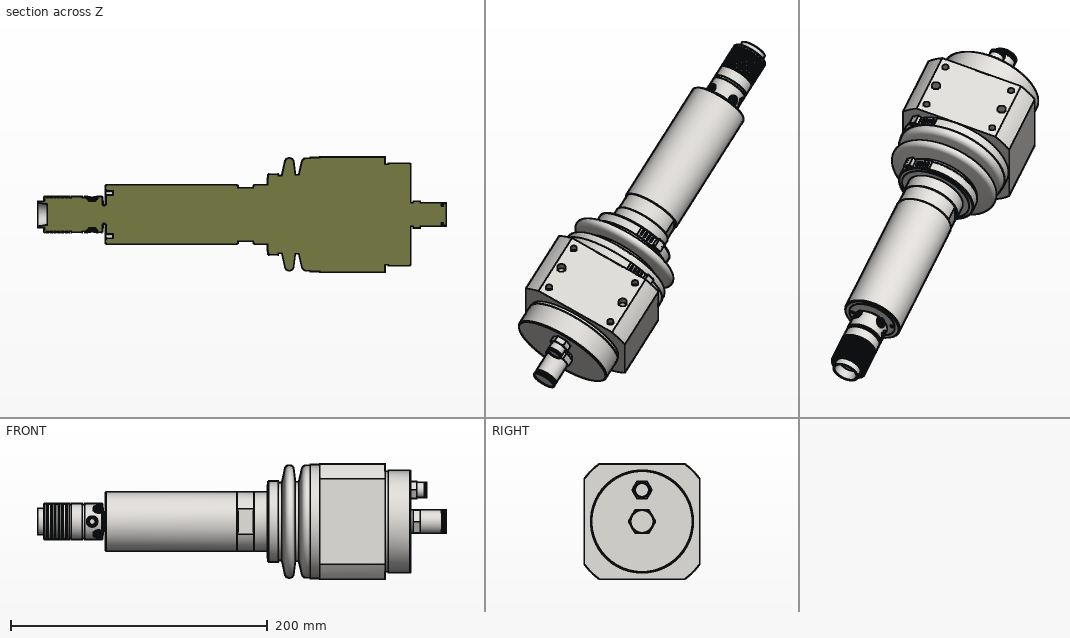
import cadquery as cq
import math

NOSE_END = 4.8
COUPLING_END = 50.7
BARREL_START = 52.7
BARREL_END = 156.2
SPANNER_END = 168.0
CUFF_START = 179.0
SMALL_CLAMP_START = 180.2
SMALL_CLAMP_END = 187.6
BELLOWS_START = 190.2
LARGE_CLAMP_START = 212.6
BLOCK_START = 219.8
BLOCK_END = 270.7
COVER_START = 273.2
COVER_END = 290.8
TOTAL_LENGTH = 318.55

NOSE_DIA = 21.0
NOSE_FLOOR_DIA = 16.0
NOSE_MOUTH_DIA = 18.5
NOSE_BORE_DEPTH = 7.5
COUPLING_DIA = 28.4
COUPLING_CHAMFER = 0.8
NOSE_RECESS_DIA = 24.0
NOSE_RECESS_DEPTH = 0.5
GROOVE_DIA = 26.8
GRIP_GROOVE_COUNT = 7
GRIP_GROOVE_FIRST = 7.2
GRIP_GROOVE_PITCH = 2.95
GRIP_GROOVE_WIDTH = 1.2
BACK_GROOVE_START = 34.8
BACK_GROOVE_WIDTH = 2.0
NECK_DIA = 15.4
NECK_GROOVE_DIA = 14.2
NECK_GROOVE_WIDTH = 1.0
SOCKET_STATION = 42.6
SOCKET_ANGLES = (-90, 90)
SOCKET_DIA = 8.57
SOCKET_DEPTH = 1.0
SOCKET_STEP_DIA = 6.65
SOCKET_STEP_DEPTH = 2.0
SOCKET_INNER_DIA = 4.92
SOCKET_INNER_DEPTH = 3.0
SCREW_STATION = 47.6
SCREW_ANGLES = (45, 135, 225, 315)
SCREW_SEAT_DIA = 8.56
SCREW_SEAT_DEPTH = 3.5
SCREW_DIA = 7.2
SCREW_RECESS = 0.5
SCREW_DRIVE_RIM_DIA = 6.0
SCREW_DRIVE_RIM_DEPTH = 0.8
SCREW_DRIVE_DIA = 3.0
SCREW_DRIVE_DEPTH = 2.0

BARREL_DIA = 46.5
BARREL_CHAMFER = 0.9
SPANNER_FLATS = 42.0
FACE_RECESS_DIA = 38.6
FACE_RECESS_DEPTH = 0.5
FACE_HOLE_DIA = 3.0
FACE_HOLE_RADIUS = 16.8
FACE_HOLE_DEPTH = 6.0

CUFF_DIA = 62.0
CUFF_STEP_DIA = 56.8
CUFF_STEP = 0.5
CUFF_GROOVE_DIA = 61.0
LOBE_RADIUS = 44.0
LOBE_SHOULDER_RADIUS = 41.0
LOBE_END = 200.9
LOBE_TAPER = 2.3
LOBE_BACK_TAPER = 1.2
LARGE_LOBE_START = 203.4
LARGE_LOBE_CREST = 209.0
LARGE_SHOULDER_FILLET = 4.0
SMALL_BAND_RADIUS = 31.65
LARGE_BAND_RADIUS = 44.5
BAND_THICKNESS = 0.5
CLAMP_ANGLE = 45.0
EAR_WIDTH = 7.0
EAR_HEIGHT = 3.2
EAR_WALL = 1.0
SLOT_COUNT = 4
SLOT_LENGTH = 3.8
SLOT_WIDTH = 1.2
SLOT_FIRST = 6.7
SLOT_PITCH = 3.2
TAIL_LENGTH = 19.0

BLOCK_SIZE = 90.0
BLOCK_CORNER_RADIUS = 56.0
TOP_HOLE_PITCH = 18.7
TOP_HOLE_OFFSET = 27.8
THREAD_HOLE_DIA = 4.92
CENTRE_HOLE_DIA = 6.65
TOP_HOLE_DEPTH = 10.0
DRILL_POINT_ANGLE = 118.0

COVER_NECK_DIA = 78.4
COVER_DIA = 80.0
COVER_CHAMFER = 0.8
MAIN_PLUG_DIA = 18.5
MAIN_NUT_FLATS = 18.2
MAIN_NUT_START = 292.6
MAIN_NUT_END = 298.2
MAIN_PLUG_SHOULDER = 314.8
MAIN_PLUG_NECK_END = 315.9
MAIN_PLUG_NECK_DIA = 13.4
MAIN_RING_GROOVE_DIA = 17.5
SMALL_PLUG_HEIGHT = 24.6
SMALL_PLUG_DIA = 12.0
SMALL_NUT_FLATS = 13.4
SMALL_NUT_END = 295.5
SMALL_RING_START = 300.6
SMALL_PLUG_END = 303.3
SMALL_RING_GROOVE_DIA = 10.6
RING_GROOVE_WIDTH = 0.4
RING_GROOVE_COUNT = 2

OVERLAP = 0.5


def cylinder(start, end, diameter, height=0.0):
    """Cylinder along X whose axis lies at the given Z height."""
    disc = cq.Workplane("YZ", origin=(start, 0, height)).circle(diameter / 2)
    return disc.extrude(end - start)


def ring(start, end, outer_diameter, inner_diameter, height=0.0):
    """Tube along X, used both as a band and as a groove cutter."""
    outline = cq.Workplane("YZ", origin=(start, 0, height))
    return outline.circle(outer_diameter / 2).circle(inner_diameter / 2).extrude(end - start)


def hexagon(start, end, across_flats, height=0.0):
    """Hexagonal prism along X with two corners pointing along Y."""
    across_corners = across_flats / math.cos(math.radians(30))
    return cq.Workplane("YZ", origin=(start, 0, height)).polygon(6, across_corners).extrude(end - start)


def radial_cylinder(station, angle, inner_radius, outer_radius, diameter):
    """Cylinder pointing away from the axis; angle is measured from +Z toward +Y."""
    plug = cq.Workplane("XY", origin=(station, 0, inner_radius)).circle(diameter / 2)
    plug = plug.extrude(outer_radius - inner_radius)
    return around_axis(plug, angle)


def around_axis(body, angle):
    """Turn a body about the X axis, positive from +Z toward +Y."""
    return body.rotate((0, 0, 0), (1, 0, 0), -angle)


def make_coupling():
    coupling = cylinder(0, NOSE_END + NOSE_RECESS_DEPTH + OVERLAP, NOSE_DIA)
    sleeve = cylinder(NOSE_END, COUPLING_END, COUPLING_DIA)
    coupling = coupling.union(sleeve.edges().chamfer(COUPLING_CHAMFER))
    coupling = coupling.union(cylinder(COUPLING_END - OVERLAP, BARREL_START + 2 * OVERLAP, NECK_DIA))

    recess_floor = NOSE_END + NOSE_RECESS_DEPTH
    coupling = coupling.cut(ring(NOSE_END, recess_floor, NOSE_RECESS_DIA, NOSE_DIA))

    bore = cq.Workplane("YZ").circle(NOSE_MOUTH_DIA / 2)
    bore = bore.workplane(offset=NOSE_BORE_DEPTH).circle(NOSE_FLOOR_DIA / 2).loft()
    coupling = coupling.cut(bore)

    cutter_dia = COUPLING_DIA + 2 * OVERLAP
    for index in range(GRIP_GROOVE_COUNT):
        start = GRIP_GROOVE_FIRST + index * GRIP_GROOVE_PITCH
        coupling = coupling.cut(ring(start, start + GRIP_GROOVE_WIDTH, cutter_dia, GROOVE_DIA))
    back_groove_end = BACK_GROOVE_START + BACK_GROOVE_WIDTH
    coupling = coupling.cut(ring(BACK_GROOVE_START, back_groove_end, cutter_dia, GROOVE_DIA))
    neck_groove_start = (COUPLING_END + BARREL_START - NECK_GROOVE_WIDTH) / 2
    neck_groove_end = neck_groove_start + NECK_GROOVE_WIDTH
    coupling = coupling.cut(ring(neck_groove_start, neck_groove_end, NECK_DIA, NECK_GROOVE_DIA))

    radius = COUPLING_DIA / 2
    socket_rim = math.sqrt(radius**2 - (SOCKET_DIA / 2) ** 2)
    socket_steps = (
        (SOCKET_DIA, SOCKET_DEPTH),
        (SOCKET_STEP_DIA, SOCKET_STEP_DEPTH),
        (SOCKET_INNER_DIA, SOCKET_INNER_DEPTH),
    )
    for angle in SOCKET_ANGLES:
        for diameter, depth in socket_steps:
            floor = socket_rim - depth
            coupling = coupling.cut(radial_cylinder(SOCKET_STATION, angle, floor, radius + OVERLAP, diameter))

    screw_top = radius - SCREW_RECESS
    seat_floor = radius - SCREW_SEAT_DEPTH
    for angle in SCREW_ANGLES:
        seat = radial_cylinder(SCREW_STATION, angle, seat_floor, radius + OVERLAP, SCREW_SEAT_DIA)
        screw = radial_cylinder(SCREW_STATION, angle, seat_floor - OVERLAP, screw_top, SCREW_DIA)
        rim_floor = screw_top - SCREW_DRIVE_RIM_DEPTH
        rim = radial_cylinder(SCREW_STATION, angle, rim_floor, radius, SCREW_DRIVE_RIM_DIA)
        drive_floor = screw_top - SCREW_DRIVE_DEPTH
        drive = radial_cylinder(SCREW_STATION, angle, drive_floor, radius, SCREW_DRIVE_DIA)
        coupling = coupling.cut(seat).union(screw).cut(rim).cut(drive)
    return coupling


def make_barrel():
    barrel = cylinder(BARREL_START, BARREL_END, BARREL_DIA).edges().chamfer(BARREL_CHAMFER)
    spanner = cylinder(BARREL_END - OVERLAP, SPANNER_END + OVERLAP, BARREL_DIA)
    flats = cq.Workplane("YZ", origin=(BARREL_START, 0, 0)).rect(SPANNER_FLATS, BARREL_DIA + 2 * OVERLAP)
    flats = flats.extrude(CUFF_START - BARREL_START)
    barrel = barrel.union(spanner.intersect(flats))
    rear = cylinder(SPANNER_END, CUFF_START + 2 * OVERLAP, BARREL_DIA)
    barrel = barrel.union(rear.faces("<X").chamfer(BARREL_CHAMFER))

    recess_floor = BARREL_START + FACE_RECESS_DEPTH
    barrel = barrel.cut(cylinder(BARREL_START, recess_floor, FACE_RECESS_DIA))
    holes = cq.Workplane("YZ", origin=(BARREL_START, 0, 0))
    holes = holes.pushPoints([(-FACE_HOLE_RADIUS, 0), (FACE_HOLE_RADIUS, 0)])
    return barrel.cut(holes.circle(FACE_HOLE_DIA / 2).extrude(FACE_HOLE_DEPTH))


def make_bellows():
    """Cuff, one full convolution and the half convolution that ends under the large clamp."""
    cuff = CUFF_DIA / 2
    groove = CUFF_GROOVE_DIA / 2
    lobe_middle = (BELLOWS_START + LOBE_END) / 2
    profile = (
        cq.Workplane("XY")
        .moveTo(CUFF_START, 0)
        .lineTo(CUFF_START, CUFF_STEP_DIA / 2)
        .lineTo(CUFF_START + CUFF_STEP, CUFF_STEP_DIA / 2)
        .lineTo(CUFF_START + CUFF_STEP, cuff)
        .lineTo(SMALL_CLAMP_END, cuff)
        .lineTo(SMALL_CLAMP_END, groove)
        .lineTo(BELLOWS_START, groove)
        .lineTo(BELLOWS_START + LOBE_TAPER, LOBE_SHOULDER_RADIUS)
        .threePointArc((lobe_middle, LOBE_RADIUS), (LOBE_END - LOBE_BACK_TAPER, LOBE_SHOULDER_RADIUS))
        .lineTo(LOBE_END, cuff)
        .lineTo(LARGE_LOBE_START, cuff)
        .lineTo(LARGE_LOBE_START + LOBE_TAPER, LOBE_SHOULDER_RADIUS)
        .radiusArc((LARGE_LOBE_CREST, LOBE_RADIUS), LARGE_SHOULDER_FILLET)
        .lineTo(BLOCK_START, LOBE_RADIUS)
        .lineTo(BLOCK_START, 0)
        .close()
    )
    return profile.revolve(360, (0, 0, 0), (1, 0, 0))


def make_clamp(start, end, bellows_dia, band_radius):
    """Band clamp with a folded ear and a slotted overlapping tail."""
    width = end - start
    middle = (start + end) / 2
    outer_radius = band_radius + BAND_THICKNESS
    band = ring(start, end, 2 * band_radius, bellows_dia - 2 * OVERLAP)

    sweep = math.degrees(TAIL_LENGTH / outer_radius)
    tail_face = (
        cq.Workplane("XY")
        .moveTo(start, bellows_dia / 2 - OVERLAP)
        .lineTo(end, bellows_dia / 2 - OVERLAP)
        .lineTo(end, outer_radius)
        .lineTo(start, outer_radius)
        .close()
    )
    tail = tail_face.revolve(sweep, (0, 0, 0), (1, 0, 0))
    tail = around_axis(tail, CLAMP_ANGLE - 90)
    clamp = band.union(tail)

    for index in range(SLOT_COUNT):
        arc = SLOT_FIRST + index * SLOT_PITCH
        slot = cq.Workplane("XY").box(SLOT_LENGTH, SLOT_WIDTH, 2 * BAND_THICKNESS)
        slot = slot.translate((middle, 0, outer_radius))
        clamp = clamp.cut(around_axis(slot, CLAMP_ANGLE - math.degrees(arc / outer_radius)))

    ear_base = band_radius - 2 * OVERLAP
    ear_top = outer_radius + EAR_HEIGHT
    ear = cq.Workplane("XY").box(width, EAR_WIDTH, ear_top - ear_base)
    ear = ear.translate((middle, 0, (ear_top + ear_base) / 2))
    window = cq.Workplane("XY").box(width, EAR_WIDTH - 2 * EAR_WALL, EAR_HEIGHT - EAR_WALL)
    window = window.translate((middle, 0, outer_radius + (EAR_HEIGHT - EAR_WALL) / 2))
    return clamp.union(around_axis(ear.cut(window), CLAMP_ANGLE))


def drilled_hole(x, y, diameter):
    """Blind hole in the top of the block, ending in a drill point."""
    radius = diameter / 2
    top = BLOCK_SIZE / 2
    floor = top - TOP_HOLE_DEPTH
    point = radius / math.tan(math.radians(DRILL_POINT_ANGLE / 2))
    outline = [(0, top), (radius, top), (radius, floor), (0, floor - point)]
    profile = cq.Workplane("XZ").polyline(outline).close()
    return profile.revolve(360, (0, 0, 0), (0, 1, 0)).translate((x, y, 0))


def make_block():
    length = BLOCK_END - BLOCK_START
    block = cq.Workplane("YZ", origin=(BLOCK_START, 0, 0)).rect(BLOCK_SIZE, BLOCK_SIZE).extrude(length)
    block = block.intersect(cylinder(BLOCK_START, BLOCK_END, 2 * BLOCK_CORNER_RADIUS))
    middle = (BLOCK_START + BLOCK_END) / 2
    for y in (-TOP_HOLE_OFFSET, TOP_HOLE_OFFSET):
        block = block.cut(drilled_hole(middle, y, CENTRE_HOLE_DIA))
        for x in (middle - TOP_HOLE_PITCH, middle + TOP_HOLE_PITCH):
            block = block.cut(drilled_hole(x, y, THREAD_HOLE_DIA))
    return block


def make_cover():
    neck = cylinder(BLOCK_END - OVERLAP, COVER_START + OVERLAP, COVER_NECK_DIA)
    disc = cylinder(COVER_START, COVER_END, COVER_DIA)
    return neck.union(disc.faces(">X").chamfer(COVER_CHAMFER))


def cut_ring_grooves(body, start, end, outer_dia, groove_dia, height):
    """Cut evenly spaced fine grooves around the end of a connector."""
    pitch = (end - start) / (RING_GROOVE_COUNT + 1)
    for index in range(RING_GROOVE_COUNT):
        place = start + (index + 1) * pitch - RING_GROOVE_WIDTH / 2
        groove = ring(place, place + RING_GROOVE_WIDTH, outer_dia + 2 * OVERLAP, groove_dia, height)
        body = body.cut(groove)
    return body


def make_main_plug():
    plug = cylinder(COVER_END - OVERLAP, MAIN_NUT_START, MAIN_PLUG_DIA)
    plug = plug.union(cylinder(MAIN_NUT_END, MAIN_PLUG_SHOULDER, MAIN_PLUG_DIA))
    plug = plug.union(hexagon(MAIN_NUT_START, MAIN_NUT_END, MAIN_NUT_FLATS))
    plug = plug.union(cylinder(MAIN_PLUG_SHOULDER - OVERLAP, TOTAL_LENGTH, MAIN_PLUG_NECK_DIA))
    plug = plug.union(cylinder(MAIN_PLUG_NECK_END, TOTAL_LENGTH, MAIN_PLUG_DIA))
    return cut_ring_grooves(plug, MAIN_PLUG_NECK_END, TOTAL_LENGTH, MAIN_PLUG_DIA, MAIN_RING_GROOVE_DIA, 0)


def make_small_plug():
    height = SMALL_PLUG_HEIGHT
    plug = hexagon(COVER_END - OVERLAP, SMALL_NUT_END, SMALL_NUT_FLATS, height)
    plug = plug.union(cylinder(COVER_END, SMALL_PLUG_END, SMALL_PLUG_DIA, height))
    return cut_ring_grooves(
        plug, SMALL_RING_START, SMALL_PLUG_END, SMALL_PLUG_DIA, SMALL_RING_GROOVE_DIA, height
    )


result = (
    make_barrel()
    .union(make_coupling())
    .union(make_bellows())
    .union(make_clamp(SMALL_CLAMP_START, SMALL_CLAMP_END, CUFF_DIA, SMALL_BAND_RADIUS))
    .union(make_clamp(LARGE_CLAMP_START, BLOCK_START, 2 * LOBE_RADIUS, LARGE_BAND_RADIUS))
    .union(make_block())
    .union(make_cover())
    .union(make_main_plug())
    .union(make_small_plug())
)